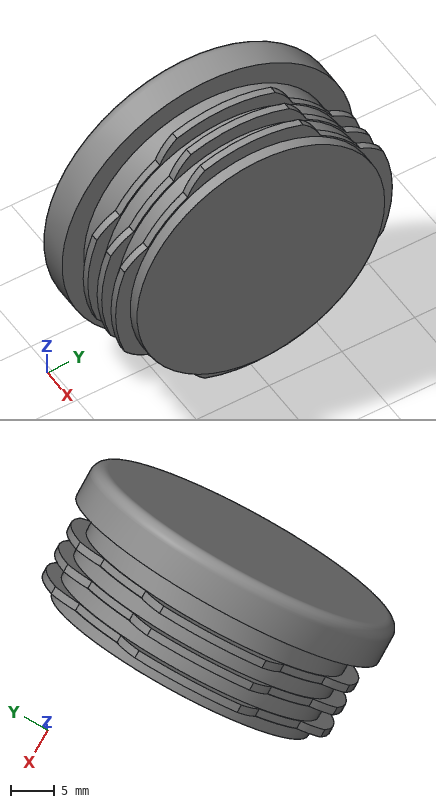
import cadquery as cq
import math

total_length = 16.5
cap_diameter = 40.0
cap_face_diameter = 37.0
cap_thickness = 5.0
stem_diameter = 34.0

fin_count = 3
fin_thickness = 1.0
fin_pitch = 3.0
first_fin_x = 8.0
fin_root_radius = 17.2

lobe_count = 4
lobe_radius = 19.0
lobe_tip_half_angle = 20.8
lobe_root_half_angle = 32.0
lobe_flank_radius = 8.0

cap_edge_radius = (cap_diameter - cap_face_diameter) / 2


def polar(radius, degrees):
    angle = math.radians(degrees)
    return (radius * math.cos(angle), radius * math.sin(angle))


def disc(start_x, diameter, thickness):
    return cq.Workplane("YZ", origin=(start_x, 0, 0)).circle(diameter / 2).extrude(thickness)


def flank_midpoint(start, end):
    """Middle of the flank arc between two points, bulging away from the axis."""
    half_chord = math.dist(start, end) / 2
    bulge = lobe_flank_radius - math.sqrt(lobe_flank_radius**2 - half_chord**2)
    middle = ((start[0] + end[0]) / 2, (start[1] + end[1]) / 2)
    outward = (end[1] - start[1], start[0] - end[0])
    step = bulge / math.hypot(*outward)
    return (middle[0] + step * outward[0], middle[1] + step * outward[1])


def fin(start_x):
    """Thin disc with raised lobes centred on the Y and Z axes."""
    lobe_spacing = 360 / lobe_count
    outline = cq.Workplane("YZ", origin=(start_x, 0, 0))
    outline = outline.moveTo(*polar(fin_root_radius, -lobe_root_half_angle))
    for index in range(lobe_count):
        centre = index * lobe_spacing
        root_start = polar(fin_root_radius, centre - lobe_root_half_angle)
        tip_start = polar(lobe_radius, centre - lobe_tip_half_angle)
        tip_end = polar(lobe_radius, centre + lobe_tip_half_angle)
        root_end = polar(fin_root_radius, centre + lobe_root_half_angle)
        next_root = polar(fin_root_radius, centre + lobe_spacing - lobe_root_half_angle)
        outline = (
            outline.threePointArc(flank_midpoint(root_start, tip_start), tip_start)
            .threePointArc(polar(lobe_radius, centre), tip_end)
            .threePointArc(flank_midpoint(tip_end, root_end), root_end)
            .threePointArc(polar(fin_root_radius, centre + lobe_spacing / 2), next_root)
        )
    return outline.close().extrude(fin_thickness)


cap = disc(0, cap_diameter, cap_thickness).edges("<X").fillet(cap_edge_radius)
stem = disc(cap_thickness, stem_diameter, total_length - cap_thickness)

result = cap.union(stem)
for fin_index in range(fin_count):
    result = result.union(fin(first_fin_x + fin_index * fin_pitch))